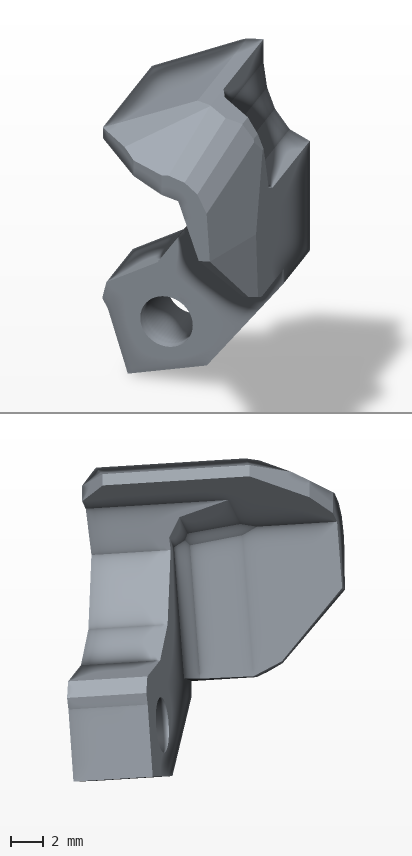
import cadquery as cq


head_depth = 15.0
arm_thickness = 5.0
pivot_diameter = 3.4
side_x = 7.57
tip_x = -2.07
CUTTER_SIZE = 100.0
MOUTH_REACH = 12.0

front_y = -head_depth
arm_face_y = -arm_thickness

tip_top = (tip_x, 15.57)
tip_bottom = (tip_x, 14.85)
roof_end = (3.51, 17.52)
apex = (4.56, 17.63)
cap_end = (6.60, 16.64)
shoulder = (7.24, 15.61)
side_top = (side_x, 14.57)
foot_outer = (side_x, 4.71)
foot_inner = (7.18, 4.67)
foot_heel = (5.66, 4.39)
inner_corner = (4.19, 13.33)

throat_top = (0.39, 14.68)
throat = (2.15, 11.63)
arm_outline = [
    throat_top,
    throat,
    (1.36, 6.72),
    (-0.58, 3.94),
    (-3.90, 2.07),
    (-4.17, 0.95),
    (-3.81, 0.31),
    (-2.51, -3.93),
    (2.61, -2.58),
    (side_x, 3.73),
    (side_x, inner_corner[1]),
    inner_corner,
]

web_steps = [(0.0, -9.0), (0.65, -5.8), (1.56, arm_face_y)]
web_start_y = -9.95
web_corner_reach = 0.85

pocket_floor = [
    apex,
    (apex[0], 16.10),
    (4.80, 14.40),
    (5.31, 13.03),
    (6.26, 11.78),
    (side_x, 11.18),
]
pocket_slope_x = -0.50
pocket_slope_z = -0.31
pocket_end_y = 0.23
pocket_bevel = (0.34, -0.85, 0.13)


def prism(outline, y_start, y_end):
    """Extrude an (X, Z) outline from y_start toward the front at y_end."""
    plane = cq.Workplane("XZ", origin=(0, y_start, 0))
    return plane.polyline(outline).close().extrude(y_start - y_end)


def at(point, y):
    """Place an (X, Z) profile point at depth y."""
    return (point[0], y, point[1])


def shave(body, facet, keep):
    """Trim body flat through three facet points, keeping the side that holds `keep`."""
    first, second, third = [cq.Vector(*corner) for corner in facet]
    normal = (second - first).cross(third - first).normalized()
    if normal.dot(cq.Vector(*keep) - first) > 0:
        normal = normal * -1
    plane = cq.Plane(origin=first.toTuple(), normal=normal.toTuple())
    waste = cq.Workplane(plane).rect(CUTTER_SIZE, CUTTER_SIZE).extrude(CUTTER_SIZE)
    return body.cut(waste)


def make_head():
    outline = [
        tip_bottom, tip_top, roof_end, apex, cap_end, shoulder, side_top,
        foot_outer, foot_inner, inner_corner,
    ]
    head = prism(outline, 0, front_y)

    nose_back = at(tip_top, -1.74)
    nose_back_end = (-0.26, 0, 15.41)
    nose_front = at(tip_top, -11.0)
    nose_ridge = (0.14, -13.10, tip_top[1])
    nose_bend = (0.98, -14.05, 15.16)
    nose_front_end = (3.11, front_y, 14.92)

    roof_corner = at(roof_end, -9.36)
    apex_corner = at(apex, -10.0)
    cap_middle = (5.56, -10.37, 17.145)
    cap_corner = at(cap_end, -9.92)
    side_corner = (side_x, -10.15, 9.42)
    toe_corner = (7.30, -10.8, 5.41)

    face_top = (3.56, front_y, 14.97)
    face_crown = (4.60, front_y, 14.65)
    face_bend = (5.43, front_y, 13.98)
    face_side = (6.03, front_y, 12.76)
    face_toe = (6.24, front_y, 9.54)
    face_heel = (5.54, front_y, 9.48)

    def above(point):
        """A second point on the same upright line."""
        return (point[0], point[1], point[2] + 1)

    facets = [
        (nose_back, above(nose_back), nose_back_end),
        (nose_back, nose_back_end, (3.25, 0, 17.44)),
        (nose_front, above(nose_front), nose_bend),
        (nose_bend, above(nose_bend), nose_front_end),
        (nose_front, nose_ridge, roof_corner),
        (nose_ridge, apex_corner, face_top),
        (apex_corner, face_top, face_crown),
        (cap_middle, face_crown, face_bend),
        (cap_corner, face_bend, face_side),
        (side_corner, face_side, face_toe),
        (side_corner, face_toe, toe_corner),
        (face_heel, face_toe, toe_corner),
        (toe_corner, (7.02, -10.75, 5.39), at(foot_inner, web_steps[0][1])),
    ]
    core = (5.5, -8.0, 13.5)
    for facet in facets:
        head = shave(head, facet, core)
    return head


def run_from_corner(end):
    """Unit direction of the inner wall from the corner to `end`, as (X, Z)."""
    run = cq.Vector(end[0] - inner_corner[0], 0, end[1] - inner_corner[1]).normalized()
    return (run.x, run.z)


def make_web():
    roof_run = run_from_corner(tip_bottom)
    wall_run = run_from_corner(foot_inner)
    roof_normal = (-roof_run[1], roof_run[0])
    wall_normal = (wall_run[1], -wall_run[0])
    open_space = (0.0, -12.0, 8.0)

    web_outline = [throat_top, inner_corner, foot_inner, foot_heel, throat]
    web = prism(web_outline, arm_face_y, web_start_y)

    def wall_point(normal, offset, y):
        """The inner corner moved off one wall of the hook by offset, at depth y."""
        x = inner_corner[0] + normal[0] * offset
        z = inner_corner[1] + normal[1] * offset
        return (x, y, z)

    wall_end = (inner_corner[0] + MOUTH_REACH * wall_run[0], inner_corner[1] + MOUTH_REACH * wall_run[1])
    mouth = prism([inner_corner, tip_bottom, (tip_x, wall_end[1]), wall_end], 0, front_y)
    for run, normal in ((roof_run, roof_normal), (wall_run, wall_normal)):
        for (offset, y), (next_offset, next_y) in zip(web_steps, web_steps[1:]):
            start = wall_point(normal, offset, y)
            along = (start[0] + run[0], y, start[2] + run[1])
            mouth = shave(mouth, (start, along, wall_point(normal, next_offset, next_y)), open_space)

    bevel_offset, bevel_y = web_steps[1]
    corner_facet = [at(inner_corner, web_start_y)]
    for run, normal in ((roof_run, roof_normal), (wall_run, wall_normal)):
        x, y, z = wall_point(normal, bevel_offset, bevel_y)
        corner_facet.append((x + run[0] * web_corner_reach, y, z + run[1] * web_corner_reach))
    mouth = shave(mouth, corner_facet, open_space)
    return web.cut(mouth)


def make_pocket():
    def floor_end(point):
        """Where a floor line meets the sloping end of the pocket."""
        y = pocket_end_y + pocket_slope_x * point[0] + pocket_slope_z * point[1]
        return cq.Vector(*at(point, y))

    clear_x = side_x + 1
    clear_z = apex[1] + 1
    outline = pocket_floor + [(clear_x, pocket_floor[-1][1]), (clear_x, clear_z), (apex[0], clear_z)]
    pocket = prism(outline, 0, front_y)
    bevel = cq.Vector(*pocket_bevel)
    inside = (side_x, -1.0, apex[1])

    ends = [floor_end(point) for point in pocket_floor]
    for start, end in zip(ends, ends[1:]):
        facet = (start.toTuple(), end.toTuple(), (start + bevel).toTuple())
        pocket = shave(pocket, facet, inside)
    end_wall = [(end + bevel).toTuple() for end in (ends[0], ends[2], ends[-1])]
    return shave(pocket, end_wall, inside)


def make_arm():
    arm = prism(arm_outline, 0, arm_face_y)
    bore = cq.Workplane("XZ").circle(pivot_diameter / 2).extrude(arm_thickness)
    return arm.cut(bore)


result = make_arm().union(make_head()).union(make_web()).cut(make_pocket())